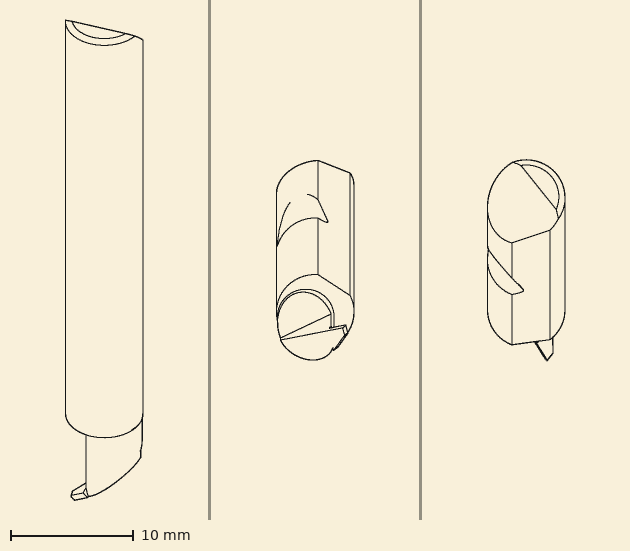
import cadquery as cq
import math

total_length = 50.65
shank_radius = 3.165
shank_bottom = 9.35

end_chamfer_radial = 0.5
end_chamfer_height = 0.3
end_land_y = -1.25
flat_angle = 150.0
flat_half_span = 30.0
flat_offset = shank_radius * math.cos(math.radians(flat_half_span))
notch_top = 36.4
notch_bottom = 27.8
notch_floor_y = 1.7
notch_radius = 0.9

neck_radius = 2.305
neck_x = shank_radius - neck_radius
rake_y = 0.0
rake_bevel_top = 8.6

tip_x = -2.5
blade_thickness = 0.55
blade_length = 2.4
tip_width = 0.65
root_width = 1.75
end_clearance = 0.2
tip_chamfer = 0.15
root_fillet = 0.2
relief_height = 0.8

margin = 0.5


def make_shank():
    """Round shank with end chamfer, end bevel, long flat and clamping notch."""
    shank = (
        cq.Workplane("XY", origin=(0, 0, shank_bottom))
        .circle(shank_radius)
        .extrude(total_length - shank_bottom)
        .faces(">Z")
        .chamfer(end_chamfer_height, end_chamfer_radial)
    )
    bevel_run = shank_radius + margin - end_land_y
    end_bevel = (
        cq.Workplane("YZ")
        .moveTo(end_land_y, total_length)
        .lineTo(end_land_y + bevel_run, total_length)
        .lineTo(end_land_y + bevel_run, total_length - bevel_run)
        .close()
        .extrude(shank_radius + margin, both=True)
    )
    notch = (
        cq.Workplane("YZ")
        .moveTo(shank_radius, notch_top)
        .lineTo(notch_floor_y, notch_bottom)
        .lineTo(shank_radius, notch_bottom)
        .close()
        .extrude(shank_radius + margin, both=True)
        .edges("|X and <Y")
        .fillet(notch_radius)
    )
    flat_cutter = (
        cq.Workplane("XY")
        .box(shank_radius, 2 * shank_radius, total_length, centered=(False, True, False))
        .translate((flat_offset, 0, 0))
        .rotate((0, 0, 0), (0, 0, 1), flat_angle)
    )
    return shank.cut(end_bevel).cut(notch).cut(flat_cutter)


def make_neck():
    """Round neck cut by the tip slope and by the rake face with its bevel."""
    neck = cq.Workplane("XY").center(neck_x, 0).circle(neck_radius).extrude(shank_bottom)
    slope_reach = shank_radius + margin - tip_x
    below_slope = (
        cq.Workplane("XZ")
        .moveTo(tip_x, 0)
        .lineTo(tip_x + slope_reach, slope_reach)
        .lineTo(tip_x + slope_reach, -margin)
        .lineTo(tip_x, -margin)
        .close()
        .extrude(shank_radius, both=True)
    )
    above_rake = (
        cq.Workplane("YZ")
        .moveTo(rake_y, -margin)
        .lineTo(rake_y, rake_bevel_top - (neck_radius - rake_y))
        .lineTo(neck_radius + margin, rake_bevel_top + margin)
        .lineTo(neck_radius + margin, -margin)
        .close()
        .extrude(2 * shank_radius, both=True)
    )
    return neck.cut(below_slope).cut(above_rake)


def along_slope():
    """Workplane at the tip: local X runs up the slope, local Y towards +Y."""
    slope = cq.Plane(origin=(tip_x, rake_y, 0), xDir=(1, 0, 1), normal=(-1, 0, 1))
    return cq.Workplane(slope)


def make_blade():
    """Tapered blade, with its end receding behind the rake face."""
    return (
        along_slope()
        .polyline([(0, 0), (blade_length, 0), (blade_length, -root_width), (end_clearance, -tip_width)])
        .close()
        .extrude(blade_thickness)
        .faces("<X")
        .edges("<X")
        .chamfer(tip_chamfer)
    )


def make_root_relief():
    """Space above the blade, rounded where it steps up to the neck."""
    return (
        along_slope()
        .workplane(offset=blade_thickness)
        .rect(2 * blade_length, 4 * root_width)
        .extrude(relief_height)
        .edges("|Y and >X")
        .edges("<Z")
        .fillet(root_fillet)
    )


neck = make_neck().cut(make_root_relief())
result = make_shank().union(neck).union(make_blade())